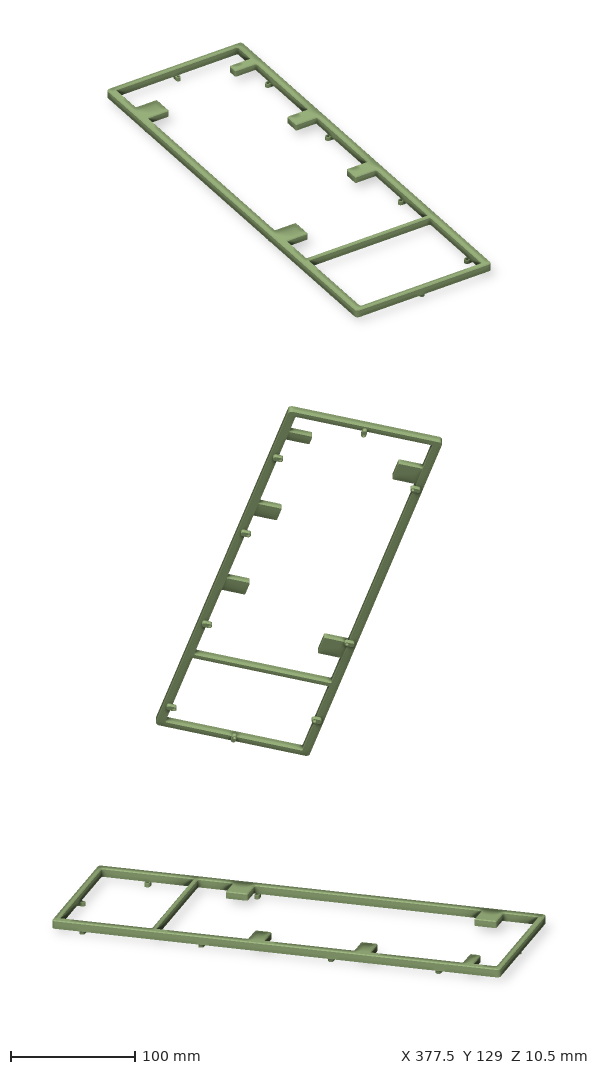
import cadquery as cq
LENGTH = 377.5
WIDTH = 129.0
HEIGHT = 10.5
FOOT_HEIGHT = 3.5
FRAME_HEIGHT = HEIGHT - FOOT_HEIGHT

OUTER_RADIUS = 3.0
INNER_RADIUS = 1.0
END_RAIL = 5.0
LONG_RAIL = 6.8
DIVIDER_WIDTH = 3.8
DIVIDER_X = 104.5
TOP_CHAMFER = 0.8
CHAMFER_ANGLE = 45
INNER_X = LENGTH / 2 - END_RAIL
INNER_Y = WIDTH / 2 - LONG_RAIL

TAB_TIP_Y = 37.7
TAB_THICKNESS = 6.0
BACK_TABS = [(-160.0, 9.0), (-71.0, 14.0), (18.5, 14.0)]
FRONT_TABS = [(-145.3, 18.5), (64.0, 18.5)]

FOOT_WALL = 0.8
FOOT_OVERHANG = 3.8
LONG_RAIL_FOOT_LENGTH = 8.3
END_RAIL_FOOT_LENGTH = 7.0
SCREW_HOLE = 3.0
PIN_HOLE = 2.4
BACK_FEET_X = [-136.0, -45.3, 64.0, 164.0]
FRONT_SCREW_FEET_X = [145.0]
FRONT_PIN_FEET_X = [-133.2, 52.5]


def window(x_left, x_right):
    """Opening between two X positions, spanning the long rails."""
    return (
        cq.Workplane("XY")
        .center((x_left + x_right) / 2, 0)
        .rect(x_right - x_left, 2 * INNER_Y)
        .extrude(FRAME_HEIGHT)
    )


def tab_block(x, width, side, height):
    """Block of a tab, from its tip to its rail; side is +1 for the back rail and -1 for the front."""
    reach = INNER_Y - TAB_TIP_Y
    return (
        cq.Workplane("XY")
        .center(x, side * (TAB_TIP_Y + reach / 2))
        .rect(width, reach)
        .extrude(height)
    )


def foot(x, y, length, angle, hole):
    """Foot whose tip is at (x, y) and which runs back under a rail; angle 0 points the tip to +X."""
    width = hole + 2 * FOOT_WALL
    return (
        cq.Workplane("XY")
        .center(-length / 2, 0)
        .slot2D(length, width)
        .extrude(-FOOT_HEIGHT)
        .cut(cq.Workplane("XY").center(-width / 2, 0).circle(hole / 2).extrude(-FOOT_HEIGHT))
        .rotate((0, 0, 0), (0, 0, 1), angle)
        .translate((x, y, 0))
    )


def rim_chamfer(opening):
    """Flared cutter that chamfers the upper rim of an opening."""
    rim = opening.faces(">Z").wires().toPending().offset2D(TOP_CHAMFER)
    return rim.extrude(-TOP_CHAMFER, taper=CHAMFER_ANGLE)


def frame():
    """Rails, divider and tabs, with every upper edge chamfered."""
    tabs = [(x, width, 1) for x, width in BACK_TABS] + [(x, width, -1) for x, width in FRONT_TABS]
    large_window = window(-INNER_X, DIVIDER_X - DIVIDER_WIDTH / 2)
    small_window = window(DIVIDER_X + DIVIDER_WIDTH / 2, INNER_X)
    for x, width, side in tabs:
        large_window = large_window.cut(tab_block(x, width, side, FRAME_HEIGHT))

    body = cq.Workplane("XY").rect(LENGTH, WIDTH).extrude(FRAME_HEIGHT)
    body = body.edges("|Z").fillet(OUTER_RADIUS).faces(">Z").chamfer(TOP_CHAMFER)
    for opening in (large_window, small_window):
        rounded = opening.edges("|Z").fillet(INNER_RADIUS)
        body = body.cut(rounded).cut(rim_chamfer(rounded))

    for x, width, side in tabs:
        clear_width = width + 2 * INNER_RADIUS
        body = body.cut(tab_block(x, clear_width, side, FRAME_HEIGHT - TAB_THICKNESS))
    return body


def feet():
    """All pierced feet, hanging below the rails and overhanging the windows."""
    long_tip = INNER_Y - FOOT_OVERHANG
    end_tip = INNER_X - FOOT_OVERHANG
    placed = [foot(x, long_tip, LONG_RAIL_FOOT_LENGTH, -90, SCREW_HOLE) for x in BACK_FEET_X]
    placed += [foot(x, -long_tip, LONG_RAIL_FOOT_LENGTH, 90, SCREW_HOLE) for x in FRONT_SCREW_FEET_X]
    placed += [foot(x, -long_tip, LONG_RAIL_FOOT_LENGTH, 90, PIN_HOLE) for x in FRONT_PIN_FEET_X]
    placed.append(foot(-end_tip, 0, END_RAIL_FOOT_LENGTH, 0, PIN_HOLE))
    placed.append(foot(end_tip, 0, END_RAIL_FOOT_LENGTH, 180, PIN_HOLE))
    return placed


result = frame()
for part_foot in feet():
    result = result.union(part_foot)